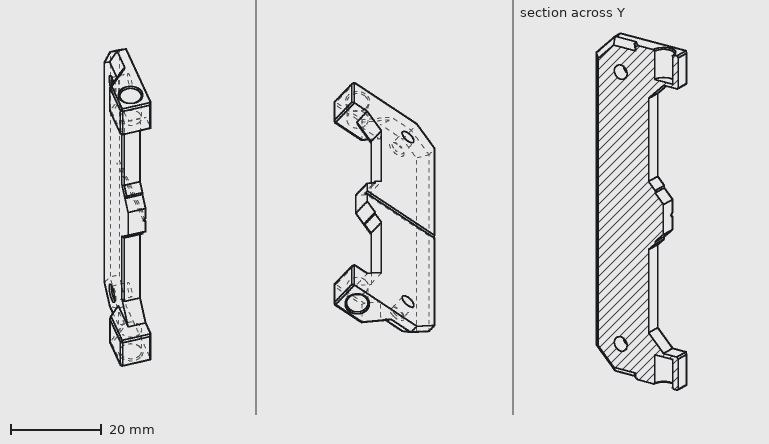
import cadquery as cq
import math

LENGTH = 80.0
WIDTH = 23.0
DEPTH = 7.0
HALF_LENGTH = LENGTH / 2

PLATE_THICKNESS = 4.1
PLATE_EDGE_X = 15.0
CORNER_CUT = 5.0
BEVEL = 2.0
EDGE_CHAMFER = 0.4

TAB_TIP_X = 19.0
TAB_REACH = TAB_TIP_X - PLATE_EDGE_X
TAB_ROOT_HALF_HEIGHT = 8.2
TAB_TRIM_START_X = 16.8

BLOCK_HEIGHT = 8.0
BLOCK_INNER_Z = HALF_LENGTH - BLOCK_HEIGHT
RAMP_FOOT_X = 12.1

BORE_DIAMETER = 4.7
BORE_X = TAB_TIP_X
BORE_Y = -DEPTH / 2
BORE_DEPTH = 7.0
BORE_CHAMFER = 0.3

SCREW_DIAMETER = 3.3
SCREW_X = 7.5
SCREW_Z = HALF_LENGTH - SCREW_X
SCREW_CHAMFER = 0.4

GROOVE_DEPTH = 0.6


def extrude_forward(points, thickness):
    """Extrude an XZ outline from the back face towards -Y."""
    return cq.Workplane("XZ").polyline(points).close().extrude(thickness)


def mirrored_pair(upper):
    """Join an upper feature with its mirror image about Z = 0."""
    return upper.union(upper.mirror("XY"))


def make_plate():
    gusset_root_z = BLOCK_INNER_Z - TAB_REACH
    tab_tip_z = TAB_ROOT_HALF_HEIGHT - TAB_REACH
    upper_right = [
        (TAB_TIP_X, HALF_LENGTH),
        (TAB_TIP_X, BLOCK_INNER_Z),
        (PLATE_EDGE_X, gusset_root_z),
        (PLATE_EDGE_X, TAB_ROOT_HALF_HEIGHT),
        (TAB_TIP_X, tab_tip_z),
    ]
    lower_right = [(x, -z) for x, z in reversed(upper_right)]
    left = [
        (CORNER_CUT, -HALF_LENGTH),
        (0, -HALF_LENGTH + CORNER_CUT),
        (0, HALF_LENGTH - CORNER_CUT),
        (CORNER_CUT, HALF_LENGTH),
    ]
    plate = extrude_forward(upper_right + lower_right + left, PLATE_THICKNESS)

    front_edges = plate.faces("<Y").edges()
    outer_edges = []
    inner_edges = []
    for edge in front_edges.vals():
        middle = edge.Center()
        at_end = abs(middle.z) > BLOCK_INNER_Z
        if middle.x < CORNER_CUT or (at_end and middle.x < TAB_TIP_X):
            outer_edges.append(edge)
        elif middle.x < TAB_TIP_X and middle.z > -gusset_root_z:
            inner_edges.append(edge)
    plate = plate.newObject(outer_edges).chamfer(BEVEL)
    plate = plate.newObject(inner_edges).chamfer(EDGE_CHAMFER)
    return plate.cut(make_tab_trim(tab_tip_z))


def make_tab_trim(tab_tip_z):
    """Wedges that bring the tab tip back to the line of its front chamfer."""
    shift = EDGE_CHAMFER * math.sqrt(2)
    start_z = tab_tip_z + TAB_TIP_X - TAB_TRIM_START_X
    trim = extrude_forward(
        [
            (TAB_TRIM_START_X, start_z - shift),
            (TAB_TRIM_START_X, start_z + shift),
            (TAB_TIP_X, tab_tip_z + shift),
            (TAB_TIP_X, tab_tip_z - shift),
        ],
        PLATE_THICKNESS,
    )
    return mirrored_pair(trim)


def make_upper_block(chamfer_inner_ramp):
    ramp_top_x = RAMP_FOOT_X + DEPTH - PLATE_THICKNESS
    ramp_back_x = RAMP_FOOT_X - PLATE_THICKNESS
    block = (
        cq.Workplane("XY", origin=(0, 0, BLOCK_INNER_Z))
        .polyline([(ramp_back_x, 0), (WIDTH, 0), (WIDTH, -DEPTH), (ramp_top_x, -DEPTH)])
        .close()
        .extrude(BLOCK_HEIGHT)
    )

    end_edges = block.faces(">X or <Y").edges("not |Z")
    right_edges = block.faces(">X").edges("|Z")
    ramp_edges = block.faces("<X").edges(">Z or <Z" if chamfer_inner_ramp else ">Z")
    return end_edges.add(right_edges).add(ramp_edges).chamfer(EDGE_CHAMFER)


def make_upper_bore():
    radius = BORE_DIAMETER / 2
    profile = [
        (0, HALF_LENGTH - BORE_DEPTH),
        (radius, HALF_LENGTH - BORE_DEPTH),
        (radius, HALF_LENGTH - BORE_CHAMFER),
        (radius + BORE_CHAMFER, HALF_LENGTH),
        (0, HALF_LENGTH),
    ]
    bore = cq.Workplane("XZ").polyline(profile).close().revolve(360, (0, 0), (0, 1))
    return bore.translate((BORE_X, BORE_Y, 0))


def make_upper_screw_hole():
    radius = SCREW_DIAMETER / 2
    profile = [
        (0, 0),
        (radius, 0),
        (radius, -PLATE_THICKNESS + SCREW_CHAMFER),
        (radius + SCREW_CHAMFER, -PLATE_THICKNESS),
        (0, -PLATE_THICKNESS),
    ]
    hole = cq.Workplane("XY").polyline(profile).close().revolve(360, (0, 0), (0, 1))
    return hole.translate((SCREW_X, 0, SCREW_Z))


def make_groove():
    profile = [(0, GROOVE_DEPTH), (-GROOVE_DEPTH, 0), (0, -GROOVE_DEPTH)]
    return cq.Workplane("YZ").polyline(profile).close().extrude(WIDTH)


result = (
    make_plate()
    .union(make_upper_block(chamfer_inner_ramp=True))
    .union(make_upper_block(chamfer_inner_ramp=False).mirror("XY"))
    .cut(mirrored_pair(make_upper_bore()))
    .cut(mirrored_pair(make_upper_screw_hole()))
    .cut(make_groove())
)